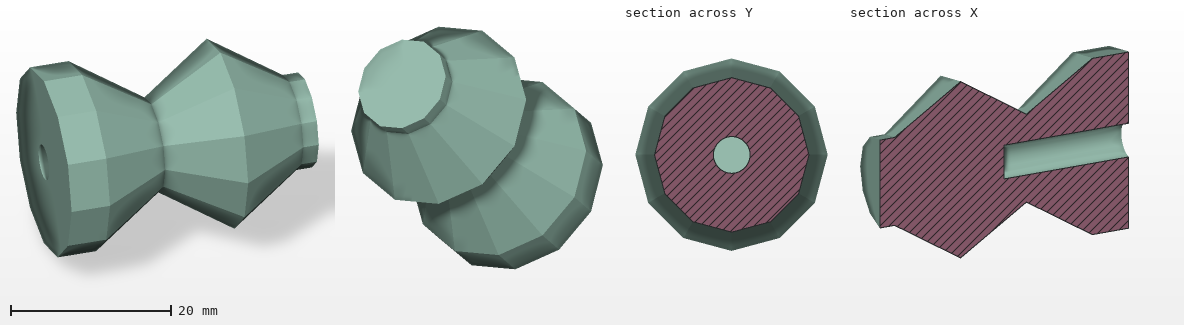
import cadquery as cq

SIDES = 12
TOTAL_LENGTH = 34.0
WIDE_DIAMETER = 24.0
NARROW_DIAMETER = WIDE_DIAMETER / 2
BASE_LENGTH = 5.0
NECK_LENGTH = 2.0
TAPER_LENGTH = (TOTAL_LENGTH - BASE_LENGTH - NECK_LENGTH) / 3

HOLE_DIAMETER = 4.52
HOLE_DEPTH = TOTAL_LENGTH / 2

FRONT_Y = -TOTAL_LENGTH / 2


def section_plane(distance):
    """Plane across the axis, at a distance behind the front face, facing +Y."""
    return cq.Plane(origin=(0, FRONT_Y + distance, 0), xDir=(1, 0, 0), normal=(0, 1, 0))


def prism(start, length, diameter):
    """Straight stretch with a corner on the X axis."""
    return cq.Workplane(section_plane(start)).polygon(SIDES, diameter).extrude(length)


def taper(start, start_diameter, end_diameter):
    """Flat-faced taper between two aligned polygons."""
    return (
        cq.Workplane(section_plane(start))
        .polygon(SIDES, start_diameter)
        .workplane(offset=TAPER_LENGTH)
        .polygon(SIDES, end_diameter)
        .loft(ruled=True)
    )


body = prism(0, BASE_LENGTH, WIDE_DIAMETER)
taper_diameters = [WIDE_DIAMETER, NARROW_DIAMETER, WIDE_DIAMETER, NARROW_DIAMETER]
position = BASE_LENGTH
for start_diameter, end_diameter in zip(taper_diameters, taper_diameters[1:]):
    body = body.union(taper(position, start_diameter, end_diameter))
    position += TAPER_LENGTH
body = body.union(prism(position, NECK_LENGTH, NARROW_DIAMETER))

hole = cq.Workplane(section_plane(0)).circle(HOLE_DIAMETER / 2).extrude(HOLE_DEPTH)

result = body.cut(hole)